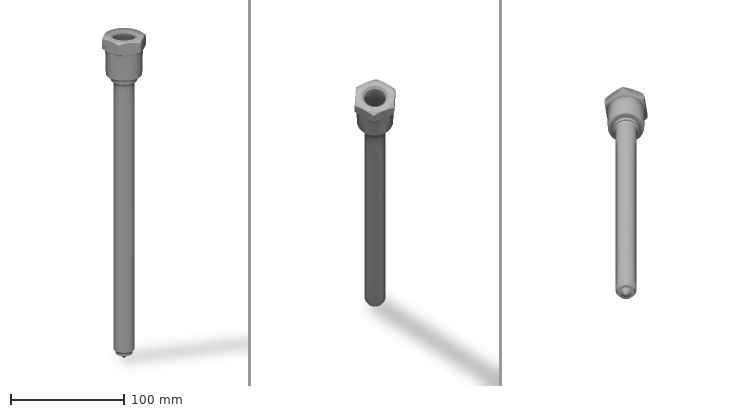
import cadquery as cq
import math

total_height = 309.5
across_flats = 35.0
head_height = 12.5
chamfer_circle_radius = 17.0
chamfer_angle = math.radians(30)

plug_top_radius = 16.7
plug_bottom_radius = 16.0
plug_bottom_z = 271.8
plug_chamfer = 1.0

collar_radius = 11.8
collar_bottom_z = 267.2
collar_top_chamfer = 1.0
collar_cone_radius = 10.5

rod_radius = 9.3
rod_top_z = 264.0
rod_bottom_z = 9.0
end_step_radius = 7.5
end_step_top_z = rod_bottom_z - (rod_radius - end_step_radius)
end_step_bottom_z = 5.0
tip_radius = 5.0

bore_radius = 9.5
bore_mouth_radius = 11.8
bore_depth = 31.0

head_bottom_z = total_height - head_height
corner_radius = across_flats / math.sqrt(3)


def revolve_profile(points):
    """Revolve a closed (radius, height) outline about the Z axis."""
    return cq.Workplane("XZ").polyline(points).close().revolve(360, (0, 0), (0, 1))


def make_head():
    """Hexagon whose corners are coned off at both ends."""
    corner_drop = (corner_radius - chamfer_circle_radius) * math.tan(chamfer_angle)
    hexagon = (
        cq.Workplane("XY", origin=(0, 0, head_bottom_z))
        .polygon(6, 2 * corner_radius)
        .extrude(head_height)
    )
    envelope = revolve_profile([
        (0, head_bottom_z),
        (chamfer_circle_radius, head_bottom_z),
        (corner_radius, head_bottom_z + corner_drop),
        (corner_radius, total_height - corner_drop),
        (chamfer_circle_radius, total_height),
        (0, total_height),
    ])
    return hexagon.intersect(envelope)


def make_shank():
    """Tapered plug, collar, rod and pointed end as one turned body."""
    return revolve_profile([
        (0, 0),
        (tip_radius, end_step_bottom_z),
        (end_step_radius, end_step_bottom_z),
        (end_step_radius, end_step_top_z),
        (rod_radius, rod_bottom_z),
        (rod_radius, rod_top_z),
        (collar_cone_radius, collar_bottom_z),
        (collar_radius, collar_bottom_z),
        (collar_radius, plug_bottom_z - collar_top_chamfer),
        (collar_radius - collar_top_chamfer, plug_bottom_z),
        (plug_bottom_radius - plug_chamfer, plug_bottom_z),
        (plug_bottom_radius, plug_bottom_z + plug_chamfer),
        (plug_top_radius, head_bottom_z),
        (0, head_bottom_z),
    ])


def make_bore():
    """Flat-bottomed bore with a 45 degree countersunk mouth."""
    mouth_depth = bore_mouth_radius - bore_radius
    return revolve_profile([
        (0, total_height - bore_depth),
        (bore_radius, total_height - bore_depth),
        (bore_radius, total_height - mouth_depth),
        (bore_mouth_radius, total_height),
        (0, total_height),
    ])


result = make_head().union(make_shank()).cut(make_bore())